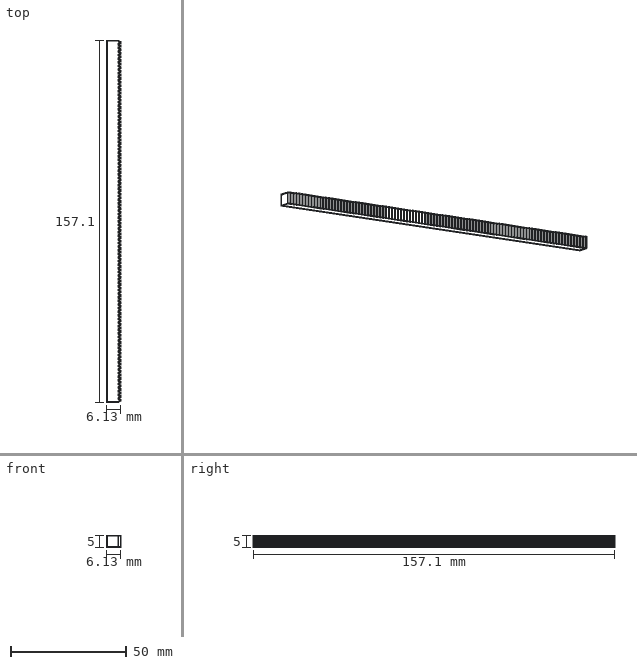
import cadquery as cq
import math

module = 0.5
tooth_count = 100
pressure_angle = math.radians(20)
body_depth = 5.0
face_width = 5.0

pitch = math.pi * module
addendum = module
dedendum = 1.25 * module
length = tooth_count * pitch

root_x = body_depth
pitch_line_x = root_x + dedendum
tip_x = pitch_line_x + addendum

half_at_pitch_line = pitch / 4
half_at_root = half_at_pitch_line + dedendum * math.tan(pressure_angle)
half_at_tip = half_at_pitch_line - addendum * math.tan(pressure_angle)


def tooth_points(center_y):
    """Corners of one straight-sided tooth, from root to root in +Y order."""
    return [
        (root_x, center_y - half_at_root),
        (tip_x, center_y - half_at_tip),
        (tip_x, center_y + half_at_tip),
        (root_x, center_y + half_at_root),
    ]


def rack_outline():
    """Outline of the rack in XY; each end lies in the middle of a tooth gap."""
    start_y = -length / 2
    end_y = length / 2
    points = [(0, start_y), (root_x, start_y)]
    for index in range(tooth_count):
        points += tooth_points(start_y + (index + 0.5) * pitch)
    points += [(root_x, end_y), (0, end_y)]
    return points


result = (
    cq.Workplane("XY")
    .polyline(rack_outline())
    .close()
    .extrude(face_width)
)